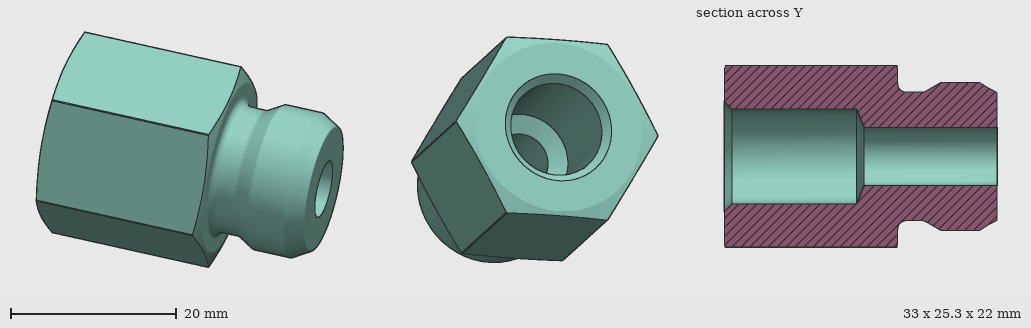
import cadquery as cq
import math

total_length = 33.0
x_start = -total_length / 2
x_end = total_length / 2

hex_sides = 6
hex_across_flats = 22.0
hex_length = 21.0
corner_diameter = 25.32
end_face_diameter = 21.0
chamfer_angle = math.radians(15)
x_shoulder = x_start + hex_length

neck_diameter = 15.6
spigot_diameter = 18.0
cone_angle = math.radians(30)
groove_length = 3.15
groove_radius = 1.0
tip_diameter = 15.45
edge_radius = 0.2
crest_radius = 0.4

through_diameter = 7.0
bore_diameter = 11.45
bore_depth = 16.0
drill_point_angle = math.radians(135)
countersink_diameter = 13.35
countersink_angle = math.radians(45)


def revolve_about_x(profile):
    """Revolve a closed profile of (x, radius) points about the X axis."""
    return profile.close().revolve(360, (0, 0, 0), (1, 0, 0))


def make_hex_body():
    sharp_diameter = hex_across_flats / math.cos(math.pi / hex_sides)
    hexagon = (
        cq.Workplane("YZ", origin=(x_start, 0, 0))
        .polygon(hex_sides, sharp_diameter)
        .extrude(hex_length)
    )
    face_radius = end_face_diameter / 2
    corner_radius = corner_diameter / 2
    chamfer_length = (corner_radius - face_radius) * math.tan(chamfer_angle)
    envelope = revolve_about_x(
        cq.Workplane("XY")
        .moveTo(x_start, 0)
        .lineTo(x_start, face_radius)
        .lineTo(x_start + chamfer_length, corner_radius)
        .lineTo(x_shoulder - chamfer_length, corner_radius)
        .lineTo(x_shoulder, face_radius)
        .lineTo(x_shoulder, 0)
    )
    return hexagon.intersect(envelope)


def cone_length(small_radius, large_radius):
    """Axial length of a spigot cone between two radii."""
    return (large_radius - small_radius) / math.tan(cone_angle)


def blend_reach(radius):
    """Distance from a cone/cylinder corner to the tangent points of its blend."""
    return radius * math.tan(cone_angle / 2)


def make_spigot():
    neck_radius = neck_diameter / 2
    spigot_radius = spigot_diameter / 2
    x_flank_foot = x_shoulder + groove_length
    x_flank_top = x_flank_foot + cone_length(neck_radius, spigot_radius)
    foot_reach = blend_reach(groove_radius)
    crest_reach = blend_reach(crest_radius)
    along_x = math.cos(cone_angle)
    along_r = math.sin(cone_angle)
    tip_radius = tip_diameter / 2
    x_lead_in = x_end - cone_length(tip_radius, spigot_radius)
    edge_reach = blend_reach(edge_radius)
    tip_reach = edge_radius * math.tan((math.pi / 2 - cone_angle) / 2)
    return revolve_about_x(
        cq.Workplane("XY")
        .moveTo(x_shoulder, 0)
        .lineTo(x_shoulder, neck_radius + groove_radius)
        .radiusArc((x_shoulder + groove_radius, neck_radius), -groove_radius)
        .lineTo(x_flank_foot - foot_reach, neck_radius)
        .radiusArc((x_flank_foot + foot_reach * along_x, neck_radius + foot_reach * along_r), -groove_radius)
        .lineTo(x_flank_top - crest_reach * along_x, spigot_radius - crest_reach * along_r)
        .radiusArc((x_flank_top + crest_reach, spigot_radius), crest_radius)
        .lineTo(x_lead_in - edge_reach, spigot_radius)
        .radiusArc((x_lead_in + edge_reach * along_x, spigot_radius - edge_reach * along_r), edge_radius)
        .lineTo(x_end - tip_reach * along_x, tip_radius + tip_reach * along_r)
        .radiusArc((x_end, tip_radius - tip_reach), edge_radius)
        .lineTo(x_end, 0)
    )


def make_bore():
    through_radius = through_diameter / 2
    bore_radius = bore_diameter / 2
    countersink_radius = countersink_diameter / 2
    countersink_depth = (countersink_radius - bore_radius) / math.tan(countersink_angle)
    point_length = (bore_radius - through_radius) / math.tan(drill_point_angle / 2)
    x_bore_end = x_start + bore_depth
    return revolve_about_x(
        cq.Workplane("XY")
        .moveTo(x_start, 0)
        .lineTo(x_start, countersink_radius)
        .lineTo(x_start + countersink_depth, bore_radius)
        .lineTo(x_bore_end, bore_radius)
        .lineTo(x_bore_end + point_length, through_radius)
        .lineTo(x_end, through_radius)
        .lineTo(x_end, 0)
    )


result = make_hex_body().union(make_spigot()).cut(make_bore())